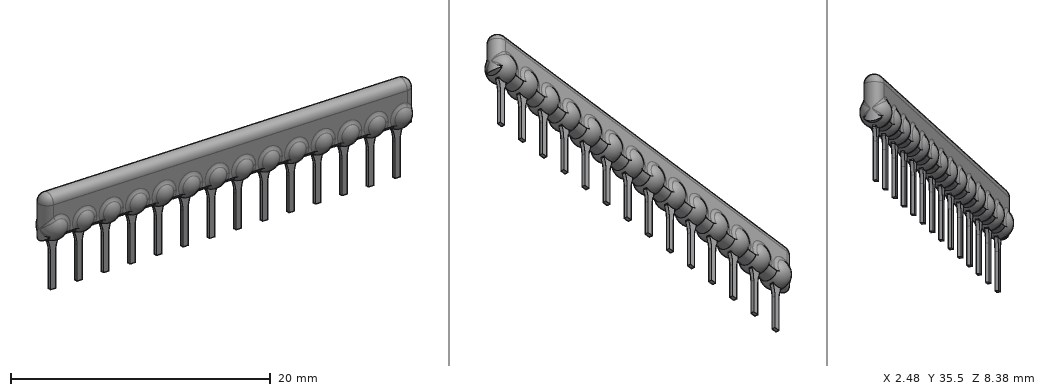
import cadquery as cq


LEAD_COUNT = 14
LEAD_PITCH = 2.54
LEAD_WIDTH = 0.5
LEAD_THICKNESS = 0.3
LEAD_ROOT_WIDTH = 0.95
LEAD_FLARE_LENGTH = 1.1

TOTAL_LENGTH = 35.51
TOTAL_HEIGHT = 8.38
BODY_WIDTH = 1.6
BODY_HEIGHT = 3.92
BELLY_DEPTH = 0.47

BEAD_DIAMETER = 2.485
BEAD_BLEND = 0.5
BEAD_HEIGHT = 1.0

END_RADIUS = BODY_WIDTH / 2
END_CENTRE_Y = TOTAL_LENGTH / 2 - END_RADIUS
BEAD_RADIUS = BEAD_DIAMETER / 2
LEAD_TIP_Z = BODY_HEIGHT - TOTAL_HEIGHT
BEAD_BOTTOM_Z = BEAD_HEIGHT - BEAD_RADIUS
FLARE_END_Z = BEAD_BOTTOM_Z - LEAD_FLARE_LENGTH
RIDGE_Z = BODY_HEIGHT - END_RADIUS

lead_positions = [
    (index - (LEAD_COUNT - 1) / 2) * LEAD_PITCH for index in range(LEAD_COUNT)
]


def round_ended_slab(bottom, top):
    """Upright slab with full-round ends, between two levels."""
    slab = cq.Workplane("XY").workplane(offset=bottom)
    return slab.slot2D(TOTAL_LENGTH, BODY_WIDTH, 90).extrude(top - bottom)


def beads():
    """Balls of coating around the leads, their surface seams turned away from the body's sides."""
    ball = cq.Workplane("XY").sphere(BEAD_RADIUS).rotate((0, 0, 0), (0, 0, 1), 90)
    return cq.Workplane("XY").newObject(
        [ball.val().translate(cq.Vector(0, y, BEAD_HEIGHT)) for y in lead_positions]
    )


def domed_ridge():
    """Full-round top of the body: a bar with ball ends."""
    ridge = (
        cq.Workplane("XZ", origin=(0, END_CENTRE_Y, RIDGE_Z))
        .circle(END_RADIUS)
        .extrude(2 * END_CENTRE_Y)
    )
    for y in (-END_CENTRE_Y, END_CENTRE_Y):
        ridge = ridge.union(cq.Workplane("XY").sphere(END_RADIUS).translate((0, y, RIDGE_Z)))
    return ridge


def blended_upper_body():
    """Body above the bowed underside, with the beads blended into its sides and ends."""
    overrun = BEAD_DIAMETER
    body = round_ended_slab(BEAD_HEIGHT - overrun, BEAD_HEIGHT + overrun)
    body = body.union(beads())
    joint_zone = cq.selectors.BoxSelector(
        (-BODY_WIDTH, -TOTAL_LENGTH, BEAD_HEIGHT - BEAD_RADIUS),
        (BODY_WIDTH, TOTAL_LENGTH, BEAD_HEIGHT + BEAD_RADIUS),
    )
    joints = body.edges(joint_zone).edges("not %LINE")
    body = joints.fillet(BEAD_BLEND)

    keep = (
        cq.Workplane("XY")
        .workplane(offset=BELLY_DEPTH)
        .rect(2 * BEAD_DIAMETER, 2 * TOTAL_LENGTH)
        .extrude(RIDGE_Z - BELLY_DEPTH)
    )
    return body.intersect(keep).union(domed_ridge())


def bowed_underside():
    """Bottom strip of the body, bowed across its width by one arc from end to end."""
    half_width = BODY_WIDTH / 2
    strip = (
        cq.Workplane("XZ", origin=(0, TOTAL_LENGTH, 0))
        .moveTo(-half_width, BELLY_DEPTH)
        .threePointArc((0, 0), (half_width, BELLY_DEPTH))
        .close()
        .extrude(2 * TOTAL_LENGTH)
    )
    return round_ended_slab(0, BELLY_DEPTH).intersect(strip)


def leads():
    """Flat leads that flare in concave arcs up to their beads."""
    half_width = LEAD_WIDTH / 2
    half_root = LEAD_ROOT_WIDTH / 2
    flare_step = half_root - half_width
    flare_radius = (LEAD_FLARE_LENGTH**2 + flare_step**2) / (2 * flare_step)
    blade = (
        cq.Workplane("YZ", origin=(-LEAD_THICKNESS / 2, 0, 0))
        .moveTo(-half_width, LEAD_TIP_Z)
        .lineTo(half_width, LEAD_TIP_Z)
        .lineTo(half_width, FLARE_END_Z)
        .radiusArc((half_root, BEAD_BOTTOM_Z), flare_radius)
        .lineTo(half_root, BEAD_HEIGHT)
        .lineTo(-half_root, BEAD_HEIGHT)
        .lineTo(-half_root, BEAD_BOTTOM_Z)
        .radiusArc((-half_width, FLARE_END_Z), flare_radius)
        .close()
        .extrude(LEAD_THICKNESS)
    )
    return cq.Workplane("XY").newObject(
        [blade.val().translate(cq.Vector(0, y, 0)) for y in lead_positions]
    )


result = blended_upper_body().union(bowed_underside())
result = result.union(beads()).union(leads())